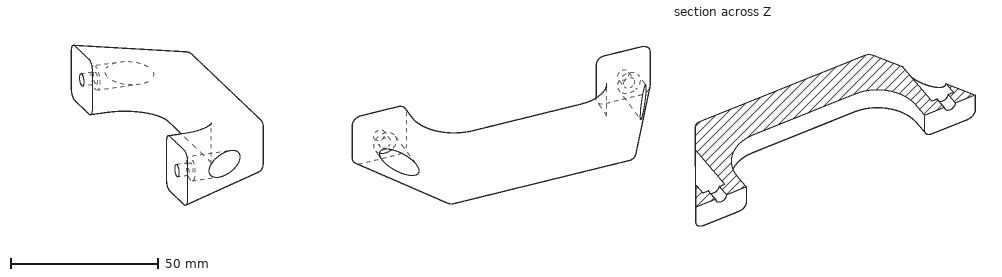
import cadquery as cq
import math

length = 110.0
height = 36.0
thickness = 20.0
leg_angle = 60.0
edge_radius = 3.0

foot_width = 20.0
opening_radius = 15.0
bar_depth = 15.0

screw_diameter = 4.2
head_diameter = 8.4
head_seat_height = 5.0

half_length = length / 2
leg_slope = math.tan(math.radians(leg_angle))
half_top = half_length - height / leg_slope
half_opening = half_length - foot_width
opening_height = height - bar_depth
arc_center_x = half_opening - opening_radius
arc_center_y = opening_height - opening_radius
arc_diagonal = opening_radius * math.sqrt(0.5)
screw_x = half_length - foot_width / 2


def handle_body():
    """Trapezoid with a round-cornered grip opening, extruded through the thickness."""
    return (
        cq.Workplane("XY")
        .moveTo(-half_length, 0)
        .lineTo(-half_top, height)
        .lineTo(half_top, height)
        .lineTo(half_length, 0)
        .lineTo(half_opening, 0)
        .lineTo(half_opening, arc_center_y)
        .threePointArc(
            (arc_center_x + arc_diagonal, arc_center_y + arc_diagonal),
            (arc_center_x, opening_height),
        )
        .lineTo(-arc_center_x, opening_height)
        .threePointArc(
            (-arc_center_x - arc_diagonal, arc_center_y + arc_diagonal),
            (-half_opening, arc_center_y),
        )
        .lineTo(-half_opening, 0)
        .close()
        .extrude(thickness / 2, both=True)
    )


def round_edges(body):
    """Round the rims of both flat sides and the two upper corners, leaving the feet sharp."""
    rim = body.faces("<Z or >Z").edges("not(<Y)")
    top_corners = body.faces(">Y").edges("|Z")
    return body.newObject(rim.vals() + top_corners.vals()).fillet(edge_radius)


def y_cylinder(x, diameter, start, end):
    """Cylinder along Y at the given X, running from start to end."""
    return cq.Workplane("XZ", origin=(x, start, 0)).circle(diameter / 2).extrude(start - end)


result = round_edges(handle_body())
for x in (-screw_x, screw_x):
    result = result.cut(y_cylinder(x, screw_diameter, 0, height))
    result = result.cut(y_cylinder(x, head_diameter, head_seat_height, height))